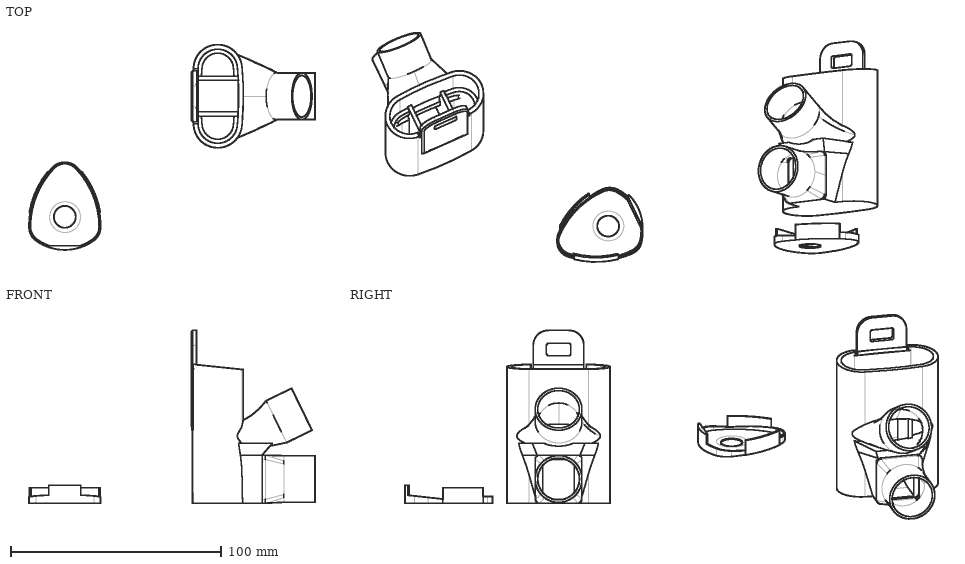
import cadquery as cq
import math

OVAL_HALF_X = 12.2
OVAL_HALF_Y = 24.6
OVAL_SIDE_RADIUS = 150.0
WALL = 2.2
RIM_Z = 65.0
RIM_SLOPE = -0.104
STOCK_HEIGHT = 80.0

SEAT_Z = 42.0
SEAT_WIDTH = 1.9
FLOOR_THICKNESS = 2.0
DIVIDER_TOP_Z = 44.0
DIVIDER_INNER_Y = 7.5
DIVIDER_OUTER_Y = 9.5
RAMP_RADIUS = 18.6
FACING_HALF_Y = 14.4
FACING_INNER_X = -9.35

TAB_HALF_Y = 12.1
TAB_OUTER_X = -12.65
TAB_INNER_X = WALL - OVAL_HALF_X
TAB_TOP_Z = 82.42
TAB_RAMP_Z = 37.6
TAB_BOTTOM_Z = 35.1
TAB_RAMP_END_X = -12.25
TAB_CORNER = 7.2
TAB_CHAMFER = 0.8
SLOT_HALF_Y = 5.75
SLOT_TOP_Z = 76.2
SLOT_BOTTOM_Z = 70.3
SLOT_CORNER = 1.0
NOTCH_HALF_Y = 13.1
NOTCH_Z = 64.2

PIPE_RADIUS = 11.15
PIPE_WALL = 1.25

BRANCH_ANGLE = 26.0
BRANCH_TIP = (40.05, 44.8)
BRANCH_PIPE_LENGTH = 13.5
DUCT_START = (7.0, 32.0)
DUCT_HALF_Y = 20.8
DUCT_HALF_Z = 6.5
WAIST = (22.0, 35.5)
WAIST_HALF_Y = 14.2
WAIST_HALF_Z = 9.0

NECK_ROOT_X = 6.0
NECK_END_X = 21.2
NECK_TOP_Z = 23.0
NECK_HALF_Y = 10.2
NECK_SHOULDER_Z = 28.5
NECK_SHOULDER_END_X = 26.0
NECK_FLARED_ROOT_HALF_Y = 20.5
NECK_SHOULDER_END_HALF_Y = 12.5

FLANGE_THICKNESS = 1.4
FLANGE_HALF_Y = 11.1
FLANGE_CORNER = 2.0
OUTLET_AXIS_Z = 11.6
OUTLET_CONE_END_X = 31.5
OUTLET_END_X = 46.36

COVER_X = -72.8
COVER_Y = -73.23
COVER_LENGTH = 41.85
COVER_HALF_X = 17.1
COVER_WIDEST_Y = 11.0
COVER_CORNER_RADIUS = 8.0
COVER_BACK_RADIUS = 8.0
COVER_FLOOR = 1.0
COVER_LIP = 0.8
COVER_FRONT_Z = 4.1
COVER_LOW_Z = 2.0
COVER_LOW_Y = 19.0
COVER_BACK_Z = 3.3
COVER_BACK_Y = 37.3
CLIP_TOP_Z = 7.45
CLIP_FRONT_Y = 18.2
CLIP_STAND_OUT = 0.4
PAD_TOP_Z = 8.7
PAD_HALF_X = 7.7
PAD_BACK_Y = 2.1
VENT_Y = 15.8
VENT_RADIUS = 5.15
VENT_SINK_RADIUS = 7.35
VENT_SINK_DEPTH = 0.5


def box(x_range, y_range, z_range):
    """Box given by its limits along X, Y and Z."""
    size = [high - low for low, high in (x_range, y_range, z_range)]
    corner = (x_range[0], y_range[0], z_range[0])
    return cq.Workplane("XY", origin=corner).box(*size, centered=False)


def oval(inset, bottom, top):
    """Upright oval prism: two flat side arcs joined by tangent end arcs, moved in by `inset`."""
    half_x = OVAL_HALF_X - inset
    half_y = OVAL_HALF_Y - inset
    side = OVAL_SIDE_RADIUS - inset
    end = (2 * half_x * side - half_x**2 - half_y**2) / (2 * (side - half_y))
    end_center_y = half_y - end
    side_center_x = side - half_x
    tangent = math.atan2(end_center_y, side_center_x)
    join_x = side * math.cos(tangent) - side_center_x
    join_y = side * math.sin(tangent)
    return (cq.Workplane("XY", origin=(0, 0, bottom))
            .moveTo(join_x, -join_y)
            .threePointArc((half_x, 0), (join_x, join_y))
            .threePointArc((0, half_y), (-join_x, join_y))
            .threePointArc((-half_x, 0), (-join_x, -join_y))
            .threePointArc((0, -half_y), (join_x, -join_y))
            .close()
            .extrude(top - bottom))


def branch(inset):
    """Upper duct and pipe; an `inset` of one wall thickness gives the passage inside."""
    angle = math.radians(BRANCH_ANGLE)
    axis = cq.Vector(math.cos(angle), 0, math.sin(angle))
    tip = cq.Vector(BRANCH_TIP[0], 0, BRANCH_TIP[1])
    shoulder = tip - axis * BRANCH_PIPE_LENGTH
    start = cq.Vector(DUCT_START[0], 0, DUCT_START[1])
    radius = PIPE_RADIUS - inset
    mouth = cq.Wire.makeCircle(radius, shoulder, axis)
    root = cq.Wire.makeEllipse(DUCT_HALF_Y - inset, DUCT_HALF_Z - inset, start, cq.Vector(1, 0, 0),
                               cq.Vector(0, 1, 0))
    waist = cq.Wire.makeEllipse(WAIST_HALF_Y - inset, WAIST_HALF_Z - inset,
                                cq.Vector(WAIST[0], 0, WAIST[1]), axis, cq.Vector(0, 1, 0))
    duct = cq.Workplane(cq.Solid.makeLoft([root, waist, mouth]))
    pipe = cq.Workplane(cq.Solid.makeCylinder(radius, BRANCH_PIPE_LENGTH, shoulder, axis))
    return duct.union(pipe)


def trapezoid(root_half_y, end_half_y, end_x, z):
    """Wire of a level trapezoid running from the neck root to `end_x`."""
    corners = [(NECK_ROOT_X, -root_half_y, z), (end_x, -end_half_y, z),
               (end_x, end_half_y, z), (NECK_ROOT_X, root_half_y, z)]
    return cq.Wire.makePolygon([cq.Vector(*corner) for corner in corners], close=True)


def neck():
    """Lower neck, flaring upwards into a shoulder that carries the branch."""
    bottom = trapezoid(NECK_HALF_Y, NECK_HALF_Y, NECK_END_X, 0)
    middle = trapezoid(NECK_FLARED_ROOT_HALF_Y, NECK_HALF_Y, NECK_END_X, NECK_TOP_Z)
    top = trapezoid(NECK_FLARED_ROOT_HALF_Y, NECK_SHOULDER_END_HALF_Y, NECK_SHOULDER_END_X, NECK_SHOULDER_Z)
    lower = cq.Workplane(cq.Solid.makeLoft([bottom, middle], True))
    upper = cq.Workplane(cq.Solid.makeLoft([middle, top], True))
    return lower.union(upper)


def tab():
    """Hanging tab with rounded top, chamfered outer edges, lower ramp and strap slot."""
    plate = box((TAB_OUTER_X, TAB_INNER_X), (-TAB_HALF_Y, TAB_HALF_Y), (TAB_BOTTOM_Z, TAB_TOP_Z))
    plate = plate.edges("|X and >Z").fillet(TAB_CORNER)
    plate = plate.faces("<X").edges("not <Z").chamfer(TAB_CHAMFER)
    ramp = (cq.Workplane("XZ", origin=(0, TAB_HALF_Y, 0))
            .polyline([(TAB_OUTER_X, TAB_BOTTOM_Z), (TAB_RAMP_END_X, TAB_BOTTOM_Z),
                       (TAB_OUTER_X, TAB_RAMP_Z)])
            .close()
            .extrude(2 * TAB_HALF_Y))
    slot = box((TAB_OUTER_X, TAB_INNER_X), (-SLOT_HALF_Y, SLOT_HALF_Y), (SLOT_BOTTOM_Z, SLOT_TOP_Z))
    slot = slot.edges("|X").fillet(SLOT_CORNER)
    return plate.cut(ramp).cut(slot)


def above_rim():
    """Everything above the sloping rim, to be cut from the tube."""
    reach = 2 * OVAL_HALF_X
    drop = RIM_SLOPE * reach
    return (cq.Workplane("XZ", origin=(0, 2 * OVAL_HALF_Y, 0))
            .polyline([(-reach, RIM_Z - drop), (reach, RIM_Z + drop),
                       (reach, 2 * STOCK_HEIGHT), (-reach, 2 * STOCK_HEIGHT)])
            .close()
            .extrude(4 * OVAL_HALF_Y))


def bore():
    """Wide upper bore stepping in to the lower chamber at the seat; no ledge between the dividers."""
    upper = oval(WALL, SEAT_Z, STOCK_HEIGHT)
    lower = oval(WALL + SEAT_WIDTH, FLOOR_THICKNESS, SEAT_Z)
    channel = box((-OVAL_HALF_X, OVAL_HALF_X), (-DIVIDER_INNER_Y, DIVIDER_INNER_Y), (FLOOR_THICKNESS, SEAT_Z))
    channel = channel.intersect(oval(WALL, 0, STOCK_HEIGHT))
    return upper.union(lower).union(channel)


def dividers():
    """Two walls across the chamber."""
    walls = cq.Workplane("XY")
    for low, high in ((-DIVIDER_OUTER_Y, -DIVIDER_INNER_Y), (DIVIDER_INNER_Y, DIVIDER_OUTER_Y)):
        walls = walls.union(box((-OVAL_HALF_X, OVAL_HALF_X), (low, high), (0, DIVIDER_TOP_Z)))
    return walls.intersect(oval(WALL / 2, 0, STOCK_HEIGHT))


def ramp():
    """Concave ramp between the dividers, falling towards the lower neck."""
    left = FACING_INNER_X
    right = left + RAMP_RADIUS
    top = FLOOR_THICKNESS + RAMP_RADIUS
    sag = RAMP_RADIUS * (1 - math.cos(math.radians(45)))
    return (cq.Workplane("XZ", origin=(0, DIVIDER_INNER_Y, 0))
            .moveTo(left, 0)
            .lineTo(left, top)
            .threePointArc((left + sag, FLOOR_THICKNESS + sag), (right, FLOOR_THICKNESS))
            .lineTo(right, 0)
            .close()
            .extrude(2 * DIVIDER_INNER_Y))


def inner_facing():
    """Flat facing on the inside of the wall behind the tab."""
    facing = box((-OVAL_HALF_X, FACING_INNER_X), (-FACING_HALF_Y, FACING_HALF_Y), (0, NOTCH_Z))
    return facing.intersect(oval(WALL / 2, 0, STOCK_HEIGHT))


def build_housing():
    """Tube with its neck, branch, inner walls and hanging tab."""
    ramp_end_x = FACING_INNER_X + RAMP_RADIUS
    passage = box((ramp_end_x, NECK_END_X), (-DIVIDER_INNER_Y, DIVIDER_INNER_Y),
                  (FLOOR_THICKNESS, NECK_TOP_Z - FLOOR_THICKNESS))
    outside = oval(0, 0, STOCK_HEIGHT).cut(above_rim())
    outside = outside.union(neck()).union(branch(0))
    housing = outside.cut(bore()).cut(branch(PIPE_WALL))
    housing = housing.union(dividers()).union(ramp()).union(inner_facing())
    housing = housing.union(tab()).cut(passage)

    for low, high in ((-NOTCH_HALF_Y, -TAB_HALF_Y), (TAB_HALF_Y, NOTCH_HALF_Y)):
        housing = housing.cut(box((-2 * OVAL_HALF_X, FACING_INNER_X), (low, high), (NOTCH_Z, STOCK_HEIGHT)))
    return housing


def build_outlet():
    """Lower pipe: flange against the neck, square-to-round cone, round pipe."""
    flange_end_x = NECK_END_X + FLANGE_THICKNESS
    flange_z = NECK_TOP_Z / 2

    plane = cq.Workplane("YZ", origin=(flange_end_x, 0, flange_z))

    def square(inset):
        """Rounded rectangle of the flange."""
        return (cq.Sketch()
                .rect(2 * (FLANGE_HALF_Y - inset), NECK_TOP_Z - 2 * inset)
                .vertices()
                .fillet(FLANGE_CORNER))

    def cone(inset):
        """Loft from the rounded rectangle to the pipe circle."""
        offset = cq.Vector(0, OUTLET_AXIS_Z - flange_z, OUTLET_CONE_END_X - flange_end_x)
        round_end = cq.Sketch().circle(PIPE_RADIUS - inset).moved(cq.Location(offset))
        return plane.placeSketch(square(inset), round_end).loft()

    def pipe(inset):
        """Round pipe beyond the cone."""
        return (cq.Workplane("YZ", origin=(OUTLET_CONE_END_X, 0, OUTLET_AXIS_Z))
                .circle(PIPE_RADIUS - inset)
                .extrude(OUTLET_END_X - OUTLET_CONE_END_X))

    flange = plane.placeSketch(square(0)).extrude(-FLANGE_THICKNESS)
    opening = plane.placeSketch(square(PIPE_WALL)).extrude(-FLANGE_THICKNESS)
    outside = flange.union(cone(0)).union(pipe(0))
    return outside.cut(opening).cut(cone(PIPE_WALL)).cut(pipe(PIPE_WALL))


def pear(offset, bottom, top):
    """Pear-shaped prism of the cover, its outline moved out by `offset`.

    Front, corner, side and back arcs are tangent; the corner and side arcs meet where it is widest.
    """
    half_x = COVER_HALF_X
    front_y = COVER_WIDEST_Y
    back_y = COVER_LENGTH - COVER_WIDEST_Y
    corner = COVER_CORNER_RADIUS
    back = COVER_BACK_RADIUS
    front = (half_x**2 + front_y**2 - 2 * half_x * corner) / (2 * (front_y - corner))
    side = (half_x**2 + back_y**2 - 2 * back_y * back) / (2 * (half_x - back))

    front_angle = math.atan2(half_x - corner, front - front_y)
    back_angle = math.atan2(back_y - back, side - half_x)
    front_x = (front + offset) * math.sin(front_angle)
    front_join_y = front - (front + offset) * math.cos(front_angle)
    back_x = half_x - side + (side + offset) * math.cos(back_angle)
    back_join_y = COVER_WIDEST_Y + (side + offset) * math.sin(back_angle)
    widest = half_x + offset

    return (cq.Workplane("XY", origin=(0, 0, bottom))
            .moveTo(-front_x, front_join_y)
            .threePointArc((0, -offset), (front_x, front_join_y))
            .tangentArcPoint((widest, COVER_WIDEST_Y), relative=False)
            .tangentArcPoint((back_x, back_join_y), relative=False)
            .threePointArc((0, COVER_LENGTH + offset), (-back_x, back_join_y))
            .tangentArcPoint((-widest, COVER_WIDEST_Y), relative=False)
            .tangentArcPoint((-front_x, front_join_y), relative=False)
            .close()
            .extrude(top - bottom))


def build_cover():
    """Pear-shaped tray with side clips, a front pad and a vent hole."""
    reach = 2 * COVER_LENGTH
    above_lip_profile = [(-reach, COVER_FRONT_Z), (0, COVER_FRONT_Z), (COVER_LOW_Y, COVER_LOW_Z),
                         (COVER_BACK_Y, COVER_BACK_Z), (reach, COVER_BACK_Z), (reach, reach), (-reach, reach)]
    above_lip = (cq.Workplane("YZ", origin=(-reach, 0, 0))
                 .polyline(above_lip_profile)
                 .close()
                 .extrude(2 * reach))
    cover = pear(0, 0, PAD_TOP_Z).cut(above_lip)
    cover = cover.cut(pear(-COVER_LIP, COVER_FLOOR, PAD_TOP_Z))

    band = pear(CLIP_STAND_OUT, 0, CLIP_TOP_Z).cut(pear(CLIP_STAND_OUT - COVER_LIP, 0, CLIP_TOP_Z))
    clip_block = box((-reach, reach), (CLIP_FRONT_Y, COVER_BACK_Y), (0, CLIP_TOP_Z))
    cover = cover.union(band.intersect(clip_block))

    pad_block = box((-PAD_HALF_X, PAD_HALF_X), (-reach, PAD_BACK_Y), (0, PAD_TOP_Z))
    cover = cover.union(pear(0, 0, PAD_TOP_Z).intersect(pad_block))

    cover = cover.cut(cq.Workplane("XY").center(0, VENT_Y).circle(VENT_RADIUS).extrude(COVER_FLOOR))
    sink = cq.Solid.makeCone(VENT_RADIUS, VENT_SINK_RADIUS, VENT_SINK_DEPTH,
                             cq.Vector(0, VENT_Y, COVER_FLOOR - VENT_SINK_DEPTH))
    return cover.cut(cq.Workplane(sink)).translate((COVER_X, COVER_Y, 0))


housing = build_housing()
outlet = build_outlet()
cover = build_cover()
result = cq.Compound.makeCompound([*housing.solids().vals(), *outlet.solids().vals(), *cover.solids().vals()])